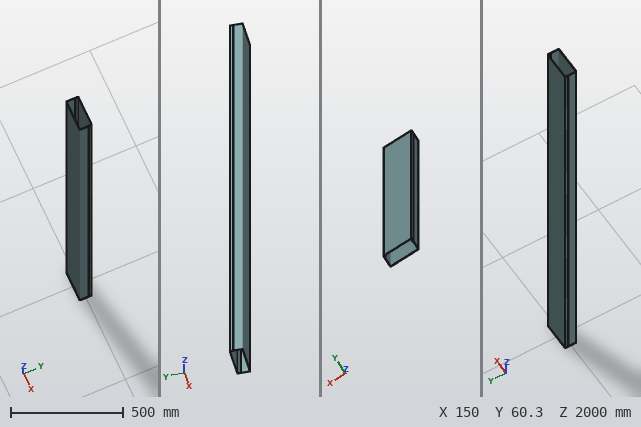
import cadquery as cq

WIDTH = 150.0
DEPTH = 60.3
LENGTH = 2000.0

WALL = 3.0
LID_WALL = 2.0
LID_SKIRT = 15.0
SHOULDER = 3.0
CORNER_RADIUS = 3.5
LID_RADIUS = 3.0

OUTER_X = WIDTH / 2
NECK_X = OUTER_X - LID_WALL
BACK_Y = -DEPTH / 2
FRONT_Y = DEPTH / 2
LID_INNER_Y = FRONT_Y - LID_WALL
SKIRT_END_Y = FRONT_Y - LID_SKIRT
JOGGLE_START_Y = SKIRT_END_Y - SHOULDER


def extrude_symmetric(right_half):
    """Mirror half an outline about the YZ plane and extrude it along Z."""
    left_half = [(-x, y) for x, y in reversed(right_half)]
    return cq.Workplane("XY").polyline(right_half + left_half).close().extrude(LENGTH)


def round_long_edges(body, y, radius):
    """Round the long edges that lie in the plane at the given Y."""
    margin = WALL / 10
    strip = cq.selectors.BoxSelector((-WIDTH, y - margin, 0), (WIDTH, y + margin, LENGTH))
    return body.edges("|Z").edges(strip).fillet(radius)


def make_base():
    """Open channel whose side walls joggle inward to pass inside the lid skirts."""
    base = extrude_symmetric([
        (OUTER_X, BACK_Y),
        (OUTER_X, JOGGLE_START_Y),
        (NECK_X, SKIRT_END_Y),
        (NECK_X, LID_INNER_Y),
        (NECK_X - WALL, LID_INNER_Y),
        (NECK_X - WALL, SKIRT_END_Y),
        (OUTER_X - WALL, JOGGLE_START_Y),
        (OUTER_X - WALL, BACK_Y + WALL),
    ])
    base = round_long_edges(base, BACK_Y, CORNER_RADIUS)
    return round_long_edges(base, BACK_Y + WALL, CORNER_RADIUS - WALL)


def make_lid():
    """Shallow channel that closes the +Y side of the base."""
    lid = extrude_symmetric([
        (OUTER_X, FRONT_Y),
        (OUTER_X, SKIRT_END_Y),
        (NECK_X, SKIRT_END_Y),
        (NECK_X, LID_INNER_Y),
    ])
    return round_long_edges(lid, FRONT_Y, LID_RADIUS)


base = make_base()
lid = make_lid()

result = cq.Compound.makeCompound([base.val(), lid.val()])